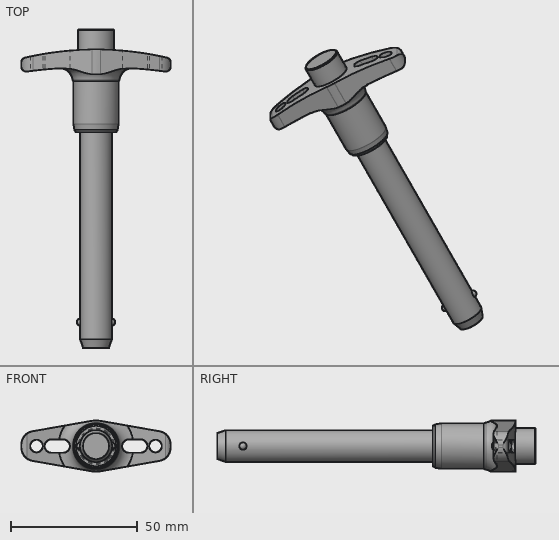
import cadquery as cq
import math


TOTAL_LENGTH = 125.98
HANDLE_BACK = 8.0
FLARE_END = 19.9
COLLAR_START = 20.6
COLLAR_TAPER = 37.4
COLLAR_SHOULDER = 39.7
COLLAR_END = 40.8

BUTTON_RADIUS = 14.3 / 2
BUTTON_CHAMFER = 0.4

EMBED_DEPTH = 2.0

COLLAR_RADIUS = 9.05
SHOULDER_RADIUS = 8.65
LIP_RADIUS = 7.95

FLARE_RADIUS = 5.0
FLARE_NECK_RADIUS = 9.35
FLARE_FOOT_RADIUS = 14.8
FLARE_FOOT = 15.57

PIN_RADIUS = 12.7 / 2
TIP_RADIUS = 10.3 / 2
TIP_LENGTH = 3.5

BALL_RADIUS = 1.45
BALL_SPAN = 15.2
BALL_FROM_TIP = 10.25

HANDLE_LENGTH = 59.12
HANDLE_HEIGHT = 20.32
FLANK_ANGLE = math.radians(10)
HANDLE_END_RADIUS = 5.5

BACK_SAG = 3.6
FRONT_CENTRE = 15.0
FRONT_SAG = 2.1
PROFILE_CORNER_RADIUS = 2.0

HOLE_RADIUS = 4.9 / 2
HOLE_X = 23.5
SLOT_WIDTH = 5.15
SLOT_INNER_X = 10.35
SLOT_OUTER_X = 20.25


def revolve_about_axis(profile):
    """Turn an XY profile around the pin axis, with the seam clear of the balls and slots."""
    axis_start = (0, 0, 0)
    axis_end = (0, 1, 0)
    return profile.close().revolve(360, axis_start, axis_end).rotate(axis_start, axis_end, 90)


def make_button():
    """Push button standing out of the back of the handle."""
    button = cq.Workplane("XZ").circle(BUTTON_RADIUS).extrude(HANDLE_BACK + EMBED_DEPTH)
    return button.faces(">Y").chamfer(BUTTON_CHAMFER)


def make_collar():
    """Flared neck and collar."""
    profile = (
        cq.Workplane("XY")
        .moveTo(0, -HANDLE_BACK - EMBED_DEPTH)
        .lineTo(FLARE_FOOT_RADIUS, -HANDLE_BACK - EMBED_DEPTH)
        .lineTo(FLARE_FOOT_RADIUS, -FLARE_FOOT)
        .radiusArc((FLARE_NECK_RADIUS, -FLARE_END), -FLARE_RADIUS)
        .lineTo(COLLAR_RADIUS, -COLLAR_START)
        .lineTo(COLLAR_RADIUS, -COLLAR_TAPER)
        .lineTo(SHOULDER_RADIUS, -COLLAR_SHOULDER)
        .lineTo(LIP_RADIUS, -COLLAR_END)
        .lineTo(0, -COLLAR_END)
    )
    return revolve_about_axis(profile)


def make_pin():
    """Straight shank with a tapered tip."""
    profile = (
        cq.Workplane("XY")
        .moveTo(0, -HANDLE_BACK)
        .lineTo(PIN_RADIUS, -HANDLE_BACK)
        .lineTo(PIN_RADIUS, -TOTAL_LENGTH + TIP_LENGTH)
        .lineTo(TIP_RADIUS, -TOTAL_LENGTH)
        .lineTo(0, -TOTAL_LENGTH)
    )
    return revolve_about_axis(profile)


def make_outline():
    """Handle outline: a diamond with rounded points, as a prism along Y."""
    half_length = HANDLE_LENGTH / 2
    half_height = HANDLE_HEIGHT / 2
    tangent_x = half_height * math.sin(FLANK_ANGLE)
    tangent_z = half_height * math.cos(FLANK_ANGLE)
    end_z = (half_height - half_length * math.sin(FLANK_ANGLE)) / math.cos(FLANK_ANGLE)
    outline = (
        cq.Workplane("XZ")
        .moveTo(-tangent_x, tangent_z)
        .threePointArc((0, half_height), (tangent_x, tangent_z))
        .lineTo(half_length, end_z)
        .lineTo(half_length, -end_z)
        .lineTo(tangent_x, -tangent_z)
        .threePointArc((0, -half_height), (-tangent_x, -tangent_z))
        .lineTo(-half_length, -end_z)
        .lineTo(-half_length, end_z)
        .close()
        .extrude(COLLAR_END)
    )
    return outline.edges("|Y and (<X or >X)").fillet(HANDLE_END_RADIUS)


def make_bar():
    """Handle thickness: a gently bowed bar, as a prism along Z."""
    half_length = HANDLE_LENGTH / 2
    back_end = HANDLE_BACK + BACK_SAG
    front_end = FRONT_CENTRE + FRONT_SAG
    bar = (
        cq.Workplane("XY")
        .moveTo(-half_length, -back_end)
        .threePointArc((0, -HANDLE_BACK), (half_length, -back_end))
        .lineTo(half_length, -front_end)
        .threePointArc((0, -FRONT_CENTRE), (-half_length, -front_end))
        .close()
        .extrude(HANDLE_HEIGHT / 2, both=True)
    )
    return bar.edges("|Z").fillet(PROFILE_CORNER_RADIUS)


def make_openings():
    """A round hole and a slot through each arm of the handle."""
    hole_centres = [(-HOLE_X, 0), (HOLE_X, 0)]
    slot_x = (SLOT_INNER_X + SLOT_OUTER_X) / 2
    holes = cq.Workplane("XZ").pushPoints(hole_centres).circle(HOLE_RADIUS).extrude(COLLAR_END)
    slots = (
        cq.Workplane("XZ")
        .pushPoints([(-slot_x, 0), (slot_x, 0)])
        .slot2D(SLOT_OUTER_X - SLOT_INNER_X, SLOT_WIDTH)
        .extrude(COLLAR_END)
    )
    return holes.union(slots)


def make_balls():
    """Two locking balls standing out of opposite sides of the shank."""
    ball_x = BALL_SPAN / 2 - BALL_RADIUS
    ball_y = -TOTAL_LENGTH + BALL_FROM_TIP
    ball = cq.Workplane("XZ").sphere(BALL_RADIUS)
    return [ball.translate((x, ball_y, 0)) for x in (-ball_x, ball_x)]


outline = make_outline()
handle = make_bar().intersect(outline)
collar = make_collar().intersect(outline)
head = handle.union(collar).cut(make_openings())
result = head.union(make_button()).union(make_pin())
for ball in make_balls():
    result = result.union(ball)